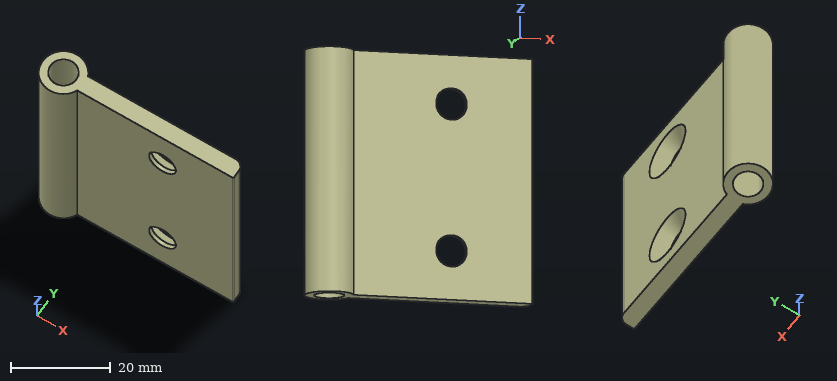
import cadquery as cq

height = 50.0
length = 47.0

knuckle_diameter = 10.0
pin_diameter = 6.1

leaf_thickness = 4.0
back_edge_radius = 2.0
front_edge_radius = 0.3

screw_diameter = 6.4
screw_from_knuckle = 25.0
screw_spacing = 30.0
straight_depth = 1.0
countersink_depth = leaf_thickness - straight_depth
countersink_diameter = screw_diameter + 2 * countersink_depth

leaf_end = length - knuckle_diameter / 2


def make_leaf():
    """Plate from the knuckle axis to the free end, with rounded free edges."""
    leaf = cq.Workplane("XY").box(leaf_end, leaf_thickness, height, centered=(False, True, False))
    leaf = leaf.edges("|Z and >X and >Y").fillet(back_edge_radius)
    return leaf.edges("|Z and >X and <Y").fillet(front_edge_radius)


def make_screw_hole(z):
    """Clearance hole along Y, opening into a 90 degree countersink on the +Y face."""
    front_face = cq.Workplane("XZ", origin=(screw_from_knuckle, -leaf_thickness / 2, z))
    bore = front_face.circle(screw_diameter / 2).extrude(-leaf_thickness)
    countersink = (
        front_face.workplane(offset=-straight_depth)
        .circle(screw_diameter / 2)
        .workplane(offset=-countersink_depth)
        .circle(countersink_diameter / 2)
        .loft(ruled=True)
    )
    return bore.union(countersink)


knuckle = cq.Workplane("XY").circle(knuckle_diameter / 2).extrude(height)
pin_hole = cq.Workplane("XY").circle(pin_diameter / 2).extrude(height)

result = knuckle.union(make_leaf()).cut(pin_hole)
for side in (-1, 1):
    result = result.cut(make_screw_hole(height / 2 + side * screw_spacing / 2))